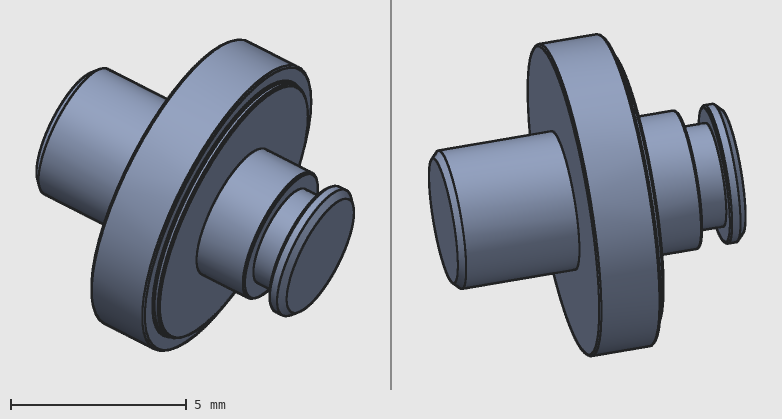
import cadquery as cq

collar_diameter = 9.0
step_diameter = 8.0
shaft_diameter = 4.0
groove_diameter = 3.0

journal_length = 3.5
collar_width = 1.8
step_width = 0.2
spacer_length = 1.59
groove_width = 0.81
head_width = 0.495

end_chamfer = 0.2
edge_chamfer = 0.05
fine_chamfer = 0.045
root_flare = 0.045


def turned_section(start, length, diameter, left_chamfer=0, right_chamfer=0):
    """Cylinder along X, with optional chamfers on its -X and +X rims."""
    section = cq.Workplane("YZ", origin=(start, 0, 0)).circle(diameter / 2).extrude(length)
    if left_chamfer:
        section = section.faces("<X").chamfer(left_chamfer)
    if right_chamfer:
        section = section.faces(">X").chamfer(right_chamfer)
    return section


collar_start = journal_length
step_start = collar_start + collar_width
spacer_start = step_start + step_width
groove_start = spacer_start + spacer_length
head_start = groove_start + groove_width

journal = turned_section(0, journal_length, shaft_diameter, left_chamfer=end_chamfer)
collar = turned_section(collar_start, collar_width, collar_diameter, edge_chamfer, edge_chamfer)
step = turned_section(step_start, step_width, step_diameter, right_chamfer=fine_chamfer)

step_radius = step_diameter / 2
step_root = (
    cq.Workplane("XY")
    .moveTo(step_start, 0)
    .lineTo(step_start, step_radius + root_flare)
    .lineTo(step_start + root_flare, step_radius)
    .lineTo(step_start + root_flare, 0)
    .close()
    .revolve(360, (0, 0, 0), (1, 0, 0))
)

spacer = turned_section(spacer_start, spacer_length, shaft_diameter, right_chamfer=fine_chamfer)
groove = turned_section(groove_start, groove_width, groove_diameter)
head = turned_section(head_start, head_width, shaft_diameter, edge_chamfer, end_chamfer)

result = journal.union(collar).union(step).union(step_root).union(spacer).union(groove).union(head)